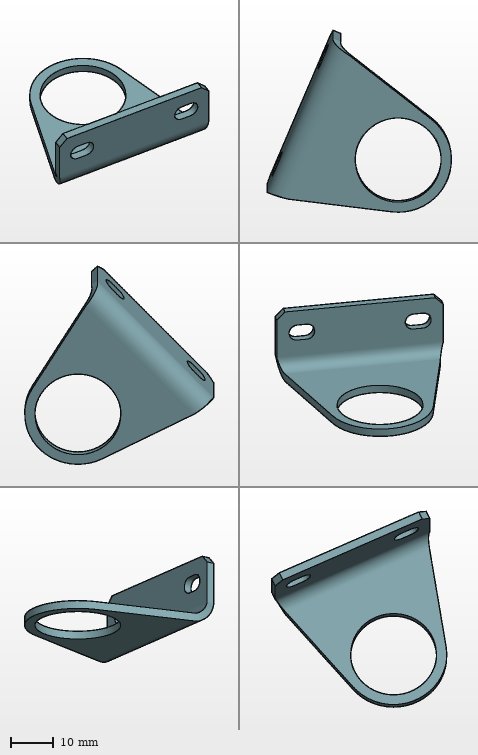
import cadquery as cq
import math

length = 38.0
width = 40.5
height = 17.0
thickness = 2.0

ring_radius = 12.68
hole_radius = 10.2

inner_bend_radius = 3.0
outer_bend_radius = inner_bend_radius + thickness
bend_start_width = 37.75
bend_angle = 90

corner_chamfer = 2.0
slot_length = 6.25
slot_height = 3.95
slot_spacing = 28.25
slot_center_z = 11.18

wall_outer_x = length - ring_radius
wall_inner_x = wall_outer_x - thickness
bend_axis_x = wall_outer_x - outer_bend_radius
bend_axis_z = outer_bend_radius


def make_base():
    """Tapered plate whose sides are tangent to the round end."""
    half_width = bend_start_width / 2
    corner_distance = math.hypot(bend_axis_x, half_width)
    corner_angle = math.atan2(half_width, bend_axis_x)
    tangent_angle = corner_angle + math.acos(ring_radius / corner_distance)
    tangent_x = ring_radius * math.cos(tangent_angle)
    tangent_y = ring_radius * math.sin(tangent_angle)
    return (
        cq.Workplane("XY")
        .moveTo(bend_axis_x, -half_width)
        .lineTo(bend_axis_x, half_width)
        .lineTo(tangent_x, tangent_y)
        .threePointArc((-ring_radius, 0), (tangent_x, -tangent_y))
        .close()
        .extrude(thickness)
        .cut(cq.Workplane("XY").circle(hole_radius).extrude(thickness))
    )


def make_bend_section(depth):
    """Quarter ring extruded from Y = 0 towards +Y."""
    diagonal = math.sqrt(0.5)
    return (
        cq.Workplane("XZ")
        .moveTo(bend_axis_x, 0)
        .threePointArc(
            (bend_axis_x + outer_bend_radius * diagonal, bend_axis_z - outer_bend_radius * diagonal),
            (wall_outer_x, bend_axis_z),
        )
        .lineTo(wall_inner_x, bend_axis_z)
        .threePointArc(
            (bend_axis_x + inner_bend_radius * diagonal, bend_axis_z - inner_bend_radius * diagonal),
            (bend_axis_x, thickness),
        )
        .close()
        .extrude(-depth)
    )


def make_bend():
    """Bend that widens in proportion to the bend angle, so its side edges are helical."""
    flare = (width - bend_start_width) / 2
    core_half = make_bend_section(bend_start_width / 2)
    reach = 2 * outer_bend_radius
    twisted_block = (
        cq.Workplane("XZ", origin=(bend_axis_x, bend_start_width / 2, bend_axis_z))
        .moveTo(reach / 2, 0)
        .rect(reach, 2 * reach)
        .twistExtrude(-flare, -bend_angle)
    )
    flare_part = make_bend_section(width / 2).intersect(twisted_block)
    half = core_half.union(flare_part)
    return half.union(half.mirror("XZ"))


def make_wall():
    """Upright wall with chamfered top corners and two horizontal slots."""
    wall = (
        cq.Workplane("XY", origin=(wall_inner_x, 0, bend_axis_z))
        .box(thickness, width, height - bend_axis_z, centered=(False, True, False))
        .faces(">Z")
        .edges("|X")
        .chamfer(corner_chamfer)
    )
    slots = (
        cq.Workplane("YZ", origin=(wall_inner_x, 0, slot_center_z))
        .pushPoints([(-slot_spacing / 2, 0), (slot_spacing / 2, 0)])
        .slot2D(slot_length, slot_height)
        .extrude(thickness)
    )
    return wall.cut(slots)


result = make_base().union(make_bend()).union(make_wall())